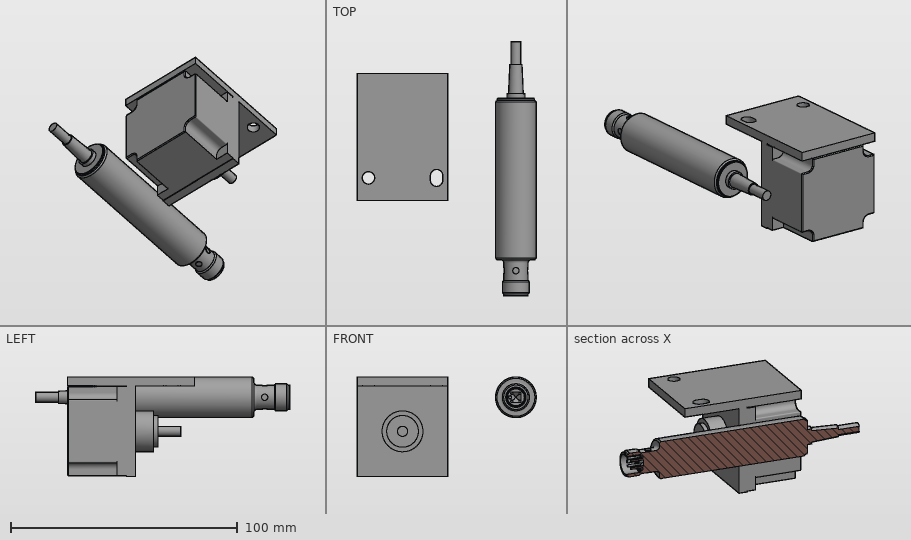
import cadquery as cq
import math


motor_width = 40.0
motor_length = 30.0
back_chamfer = 0.5
relief_depth = 0.3
relief_length = 26.0
recess_length = 22.0
recess_depth = 6.0
recess_fillet = 2.9
recess_edge_fillet = 0.6

shaft_steps = [(18.0, 8.0), (14.0, 2.0), (4.5, 10.0)]

plate_thickness = 4.0
plate_overhang = 26.0
hole_diameter = 5.4
slot_length = 7.4
hole_offset = 15.0
hole_edge_distance = 10.0

sensor_offset = 50.0
sensor_end = 44.0
sensor_length = 112.0
cable_diameter = 4.5
cable_length = 10.0
strain_relief_tip_diameter = 5.5
strain_relief_base_diameter = 6.6
strain_relief_length = 12.9
collar_diameter = 8.1
collar_length = 2.0
cap_diameter = 16.5
cap_length = 1.0
cap_chamfer = 0.3
barrel_diameter = 18.0
barrel_chamfer = 0.7
neck_diameter = 10.8
neck_fillet = 1.5
neck_length = 9.1
nut_diameter = 12.0
nut_length = 4.8
lip_length = 0.8

dimple_diameter = 2.8
dimple_depth = 0.3
dimple_distance = 4.8

socket_diameter = 9.0
socket_depth = 6.7
seat_diameter = 7.4
seat_depth = 1.1
groove_count = 32
groove_width = 0.3
groove_depth = 0.6
pin_diameter = 1.0
pin_length = 5.6
pin_offset = 1.8
pyramid_width = 4.5
pyramid_depth = 2.2
key_diameter = 1.3
key_offset = 2.6

half_width = motor_width / 2
cable_radius = cable_diameter / 2
strain_relief_tip_radius = strain_relief_tip_diameter / 2
strain_relief_base_radius = strain_relief_base_diameter / 2
collar_radius = collar_diameter / 2
cap_radius = cap_diameter / 2
barrel_radius = barrel_diameter / 2
neck_radius = neck_diameter / 2
nut_radius = nut_diameter / 2
sensor_height = half_width + plate_thickness - barrel_radius
sensor_front = sensor_end - sensor_length
nut_bevel = nut_radius - neck_radius
nut_back = sensor_front + lip_length + nut_bevel + nut_length
barrel_front = nut_back + nut_bevel + neck_length
floor_y = sensor_front + socket_depth + seat_depth


def prism_from_back(width, height, length):
    """Rectangular bar on the motor axis that runs forwards from the back face."""
    return cq.Workplane("XZ", origin=(0, motor_length, 0)).rect(width, height).extrude(length)


def make_motor_body():
    """Square motor; its rear part has stepped sides, recessed corners and a chamfered back."""
    rear_height = motor_width - 2 * relief_depth
    inner = motor_width - 2 * recess_depth
    front = prism_from_back(motor_width, motor_width, motor_length).cut(
        prism_from_back(motor_width, motor_width, relief_length)
    )
    stepped = prism_from_back(motor_width, rear_height, relief_length).cut(
        prism_from_back(motor_width, rear_height, recess_length)
    )
    cross = prism_from_back(inner, rear_height, recess_length).union(
        prism_from_back(motor_width, inner, recess_length)
    )
    cross = cross.edges("|Y").edges("<X or >X").fillet(recess_edge_fillet)
    for x in (-inner / 2, inner / 2):
        for z in (-inner / 2, inner / 2):
            inner_corner = cq.selectors.NearestToPointSelector((x, motor_length - recess_length / 2, z))
            cross = cross.edges("|Y").edges(inner_corner).fillet(recess_fillet)
    cross = cross.faces(">Y").chamfer(back_chamfer)
    return front.union(stepped).union(cross)


def make_plate():
    """Mounting plate with a round hole and a slotted hole near its front edge."""
    plate_length = motor_length + plate_overhang
    plate = cq.Workplane("XY", origin=(0, -plate_overhang, half_width)).box(
        motor_width, plate_length, plate_thickness, centered=(True, False, False)
    )
    hole_y = hole_edge_distance - plate_overhang
    base = cq.Workplane("XY", origin=(0, hole_y, half_width))
    hole = base.center(-hole_offset, 0).circle(hole_diameter / 2).extrude(plate_thickness)
    slot = base.center(hole_offset, 0).slot2D(slot_length, hole_diameter, 90).extrude(plate_thickness)
    return plate.cut(hole).cut(slot)


def make_motor():
    """Motor body with its plate, pilot, boss and shaft, as one solid."""
    motor = make_motor_body().union(make_plate())
    step_y = 0
    for diameter, length in shaft_steps:
        step = cq.Workplane("XZ", origin=(0, step_y, 0)).circle(diameter / 2).extrude(length)
        motor = motor.union(step)
        step_y -= length
    return motor


def make_turned_sensor():
    """Revolved outline of the sensor on the Y axis."""
    relief_tip = sensor_end - cable_length
    relief_base = relief_tip - strain_relief_length
    cap_back = relief_base - collar_length
    cap_front = cap_back - cap_length
    barrel_back = cap_front - barrel_chamfer
    lip_back = sensor_front + lip_length
    fillet_middle = neck_fillet * (1 - math.sqrt(0.5))
    return (
        cq.Workplane("XY")
        .moveTo(0, sensor_end)
        .lineTo(cable_radius, sensor_end)
        .lineTo(cable_radius, relief_tip)
        .lineTo(strain_relief_tip_radius, relief_tip)
        .lineTo(strain_relief_base_radius, relief_base)
        .lineTo(collar_radius, relief_base)
        .lineTo(collar_radius, cap_back)
        .lineTo(cap_radius - cap_chamfer, cap_back)
        .lineTo(cap_radius, cap_back - cap_chamfer)
        .lineTo(cap_radius, cap_front)
        .lineTo(barrel_radius - barrel_chamfer, cap_front)
        .lineTo(barrel_radius, barrel_back)
        .lineTo(barrel_radius, barrel_front + barrel_chamfer)
        .lineTo(barrel_radius - barrel_chamfer, barrel_front)
        .lineTo(neck_radius + neck_fillet, barrel_front)
        .threePointArc(
            (neck_radius + fillet_middle, barrel_front - fillet_middle),
            (neck_radius, barrel_front - neck_fillet),
        )
        .lineTo(neck_radius, nut_back + nut_bevel)
        .lineTo(nut_radius, nut_back)
        .lineTo(nut_radius, lip_back + nut_bevel)
        .lineTo(neck_radius, lip_back)
        .lineTo(neck_radius, sensor_front)
        .lineTo(0, sensor_front)
        .close()
        .revolve(360, (0, 0), (0, 1))
    )


def cut_dimples(sensor):
    """Four flat-bottomed round dimples around the neck."""
    floor = neck_radius - dimple_depth
    for angle in (0, 90, 180, 270):
        dimple = (
            cq.Workplane("XY", origin=(0, barrel_front - dimple_distance, floor))
            .circle(dimple_diameter / 2)
            .extrude(neck_radius)
            .rotate((0, 0, 0), (0, 1, 0), angle)
        )
        sensor = sensor.cut(dimple)
    return sensor


def socket_rod(diameter, back_y, length, x=0, z=0):
    """Round rod parallel to the sensor axis that runs from back_y towards the connector front."""
    return cq.Workplane("XZ", origin=(x, back_y, z)).circle(diameter / 2).extrude(length)


def cut_socket(sensor):
    """Socket bore, a serrated seat behind it and a pyramid recess in the floor of the seat."""
    sensor = sensor.cut(socket_rod(socket_diameter, floor_y - seat_depth, socket_depth))
    sensor = sensor.cut(socket_rod(seat_diameter, floor_y, seat_depth))
    grooves = (
        cq.Workplane("XZ", origin=(0, floor_y, 0))
        .polarArray(seat_diameter / 2, 0, 360, groove_count)
        .rect(2 * groove_depth, groove_width)
        .extrude(seat_depth)
    )
    half_pyramid = pyramid_width / 2
    apex = (half_pyramid, half_pyramid)
    pyramid = cq.Solid.makeWedge(pyramid_width, pyramid_depth, pyramid_width, *apex, *apex)
    pyramid = pyramid.translate(cq.Vector(-half_pyramid, floor_y, -half_pyramid))
    return sensor.cut(grooves).cut(cq.Workplane(pyramid))


def add_contacts(sensor):
    """Four contact pins and a coding key that stand up from the seat floor."""
    root_y = floor_y + pyramid_depth
    root_length = pyramid_depth + pin_length
    for x in (-pin_offset, pin_offset):
        for z in (-pin_offset, pin_offset):
            sensor = sensor.union(socket_rod(pin_diameter, root_y, root_length, x, z))
    return sensor.union(socket_rod(key_diameter, root_y, root_length, -key_offset))


def make_sensor():
    """Sensor built on the Y axis and then moved beside the motor."""
    sensor = add_contacts(cut_socket(cut_dimples(make_turned_sensor())))
    return sensor.translate((sensor_offset, 0, sensor_height))


motor = make_motor()
sensor = make_sensor()

result = cq.Compound.makeCompound([motor.val(), sensor.val()])